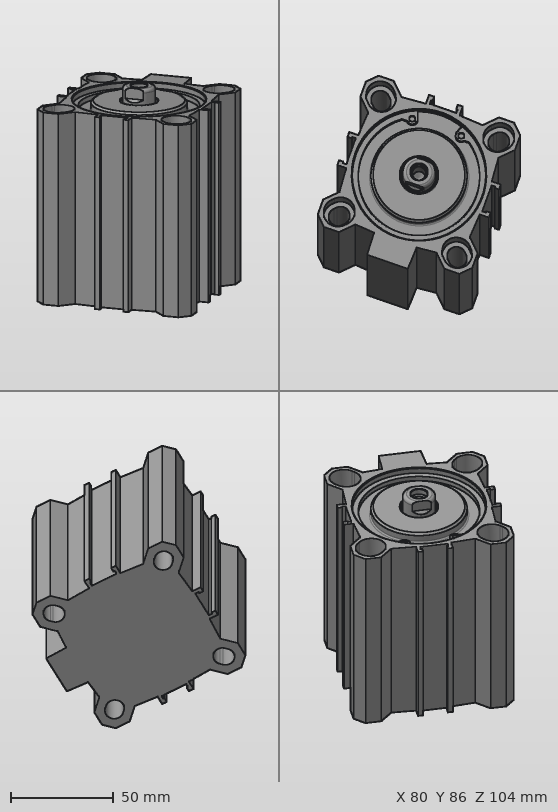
import cadquery as cq
import math

overall_height = 104.0
overall_depth = 86.0
housing_width = 80.0
housing_height = 97.0
half_width = housing_width / 2

corner_flat_outer = 35.0
corner_flat_inner = 27.2
valley_out = 33.7
valley_along = corner_flat_inner - (half_width - valley_out)
crown_out = 34.5

rail_outer_along = 8.7
rail_lip_along = 6.1
rail_inner_along = 6.9
rail_out = 39.2
rail_lip_out = 36.9
rail_floor_out = 35.2

block_out = overall_depth - half_width
block_base_along = 11.0
block_end_along = 10.5

bolt_offset = 30.5
bolt_hole_width = 9.0
bolt_recess_width = 14.0
bolt_stretch = 1.5
diagonal_angle = 45
bolt_recess_depth = 10.5

bore_diameter = 63.0
bore_floor = 10.4
seat_diameter = 65.1
mouth_chamfer = 0.4

ring_depth = 3.1
ring_thickness = 2.5
ring_outer_radius = 68.2 / 2
ring_inner_radius = 29.6
ear_x = 12.7
ear_y = -25.9
ear_radius = 2.8
ear_hole_diameter = 3.0
ear_step_y = -24.0

cover_flange_thickness = 5.2
cover_spigot_length = 12.5
boss_diameter = 47.0
boss_depth = 0.6
boss_chamfer = 1.1
boss_base_fillet = 0.7
cover_bore_diameter = 16.5
wiper_recess_diameter = 18.0
wiper_recess_depth = 2.1
wiper_chamfer = 0.5

rod_diameter = 16.0
rod_edge_fillet = 1.8
flat_width = 13.0
flat_length = 5.4
thread_diameter = 8.2
thread_mouth_chamfer = 0.26
thread_depth = 3.1
pilot_diameter = 6.7
pilot_depth = 15.6
drill_half_angle = math.radians(59)

ring_top = housing_height - ring_depth
ring_bottom = ring_top - ring_thickness
seat_z = ring_bottom - cover_flange_thickness
boss_top = housing_height - boss_depth


def cylinder(diameter, bottom, top):
    return cq.Workplane("XY").workplane(offset=bottom).circle(diameter / 2).extrude(top - bottom)


def revolved(profile):
    """Solid of revolution about Z from (radius, z) points."""
    return cq.Workplane("XZ").polyline(profile).close().revolve(360, (0, 0, 0), (0, 1, 0))


def rotated(point, angle):
    x, y = point
    c = math.cos(angle)
    s = math.sin(angle)
    return (x * c - y * s, x * s + y * c)


def side_outline(feature):
    """One full side, running toward -X on the +Y side; `feature` is its middle part's first half."""
    half = [
        (corner_flat_outer, half_width),
        (corner_flat_inner, half_width),
        (valley_along, valley_out),
    ] + feature
    return half + [(-along, out) for along, out in reversed(half)]


def housing_outline():
    rails = [
        (rail_outer_along, crown_out),
        (rail_outer_along, rail_out),
        (rail_lip_along, rail_out),
        (rail_lip_along, rail_lip_out),
        (rail_inner_along, rail_lip_out),
        (rail_inner_along, rail_floor_out),
    ]
    block = [(block_base_along, crown_out), (block_end_along, block_out)]
    points = []
    for quarter, feature in enumerate([block, rails, rails, rails]):
        points += [rotated(p, quarter * math.pi / 2) for p in side_outline(feature)]
    return points


def bolt_slots(width, bottom):
    """Four slots, each stretched along its corner's diagonal, open at the top of the housing."""
    slot = (
        cq.Workplane("XY")
        .workplane(offset=bottom)
        .center(bolt_offset, bolt_offset)
        .slot2D(width + bolt_stretch, width, diagonal_angle)
        .extrude(housing_height - bottom)
    )
    return [slot.rotate((0, 0, 0), (0, 0, 1), 90 * quarter) for quarter in range(4)]


def make_housing():
    seat_radius = seat_diameter / 2
    bore_profile = [
        (0, bore_floor),
        (bore_diameter / 2, bore_floor),
        (bore_diameter / 2, seat_z),
        (seat_radius, seat_z),
        (seat_radius, ring_bottom),
        (ring_outer_radius, ring_bottom),
        (ring_outer_radius, ring_top),
        (seat_radius, ring_top),
        (seat_radius, housing_height - mouth_chamfer),
        (seat_radius + mouth_chamfer, housing_height),
        (0, housing_height),
    ]
    body = cq.Workplane("XY").polyline(housing_outline()).close().extrude(housing_height)
    body = body.cut(revolved(bore_profile))
    through_slots = bolt_slots(bolt_hole_width, 0)
    recess_slots = bolt_slots(bolt_recess_width, housing_height - bolt_recess_depth)
    for slot in through_slots + recess_slots:
        body = body.cut(slot)
    return body


def make_snap_ring():
    """Open ring with an eyelet at each end; the end faces are radial and tangent to the eyelets."""
    ear_distance = math.hypot(ear_x, ear_y)
    gap_angle = math.atan2(ear_x, -ear_y) - math.asin(ear_radius / ear_distance)
    end_distance = math.sqrt(ear_distance**2 - ear_radius**2)
    end_x = math.sin(gap_angle)
    end_y = -math.cos(gap_angle)
    step_inner_x = ear_x + math.sqrt(ear_radius**2 - (ear_step_y - ear_y) ** 2)
    step_outer_x = math.sqrt(ring_inner_radius**2 - ear_step_y**2)
    ring = (
        cq.Workplane("XY")
        .workplane(offset=ring_bottom)
        .moveTo(ring_outer_radius * end_x, ring_outer_radius * end_y)
        .lineTo(end_distance * end_x, end_distance * end_y)
        .threePointArc((ear_x, ear_y + ear_radius), (step_inner_x, ear_step_y))
        .lineTo(step_outer_x, ear_step_y)
        .threePointArc((0, ring_inner_radius), (-step_outer_x, ear_step_y))
        .lineTo(-step_inner_x, ear_step_y)
        .threePointArc((-ear_x, ear_y + ear_radius), (-end_distance * end_x, end_distance * end_y))
        .lineTo(-ring_outer_radius * end_x, ring_outer_radius * end_y)
        .threePointArc((0, ring_outer_radius), (ring_outer_radius * end_x, ring_outer_radius * end_y))
        .close()
        .extrude(ring_thickness)
    )
    for side in (-1, 1):
        ear_hole = cylinder(ear_hole_diameter, ring_bottom, ring_top)
        ring = ring.cut(ear_hole.translate((side * ear_x, ear_y, 0)))
    return ring


def make_cover():
    boss_radius = boss_diameter / 2
    fillet_middle_offset = boss_base_fillet * (1 - math.sqrt(0.5))
    recess_radius = wiper_recess_diameter / 2
    recess_bottom = boss_top - wiper_recess_depth
    cover_bottom = seat_z - cover_spigot_length
    return (
        cq.Workplane("XZ")
        .moveTo(cover_bore_diameter / 2, cover_bottom)
        .lineTo(bore_diameter / 2, cover_bottom)
        .lineTo(bore_diameter / 2, seat_z)
        .lineTo(seat_diameter / 2, seat_z)
        .lineTo(seat_diameter / 2, ring_bottom)
        .lineTo(boss_radius + boss_base_fillet, ring_bottom)
        .threePointArc(
            (boss_radius + fillet_middle_offset, ring_bottom + fillet_middle_offset),
            (boss_radius, ring_bottom + boss_base_fillet),
        )
        .lineTo(boss_radius, boss_top - boss_chamfer)
        .lineTo(boss_radius - boss_chamfer, boss_top)
        .lineTo(recess_radius + wiper_chamfer, boss_top)
        .lineTo(recess_radius, boss_top - wiper_chamfer)
        .lineTo(recess_radius, recess_bottom)
        .lineTo(cover_bore_diameter / 2, recess_bottom)
        .close()
        .revolve(360, (0, 0, 0), (0, 1, 0))
    )


def threaded_hole():
    thread_radius = thread_diameter / 2
    pilot_radius = pilot_diameter / 2
    pilot_bottom = overall_height - pilot_depth
    thread_bottom = overall_height - thread_depth
    return revolved([
        (0, overall_height),
        (thread_radius + thread_mouth_chamfer, overall_height),
        (thread_radius, overall_height - thread_mouth_chamfer),
        (thread_radius, thread_bottom),
        (pilot_radius, thread_bottom - (thread_radius - pilot_radius)),
        (pilot_radius, pilot_bottom),
        (0, pilot_bottom - pilot_radius / math.tan(drill_half_angle)),
    ])


def wrench_flat():
    """Cutter for the +Y flat, whose lower end runs out at 45 degrees."""
    flat_y = flat_width / 2
    rim_y = rod_diameter / 2
    flat_bottom = overall_height - flat_length
    return (
        cq.Workplane("YZ")
        .polyline([
            (flat_y, overall_height),
            (flat_y, flat_bottom),
            (rim_y, flat_bottom - (rim_y - flat_y)),
            (rim_y, overall_height),
        ])
        .close()
        .extrude(rod_diameter / 2, both=True)
    )


def make_rod():
    rod = cylinder(rod_diameter, bore_floor, overall_height)
    rod = rod.faces(">Z").edges().fillet(rod_edge_fillet)
    rod = rod.cut(wrench_flat()).cut(wrench_flat().mirror("XZ"))
    return rod.cut(threaded_hole())


housing = make_housing()
snap_ring = make_snap_ring()
cover = make_cover()
rod = make_rod()

result = cq.Compound.makeCompound([housing.val(), snap_ring.val(), cover.val(), rod.val()])